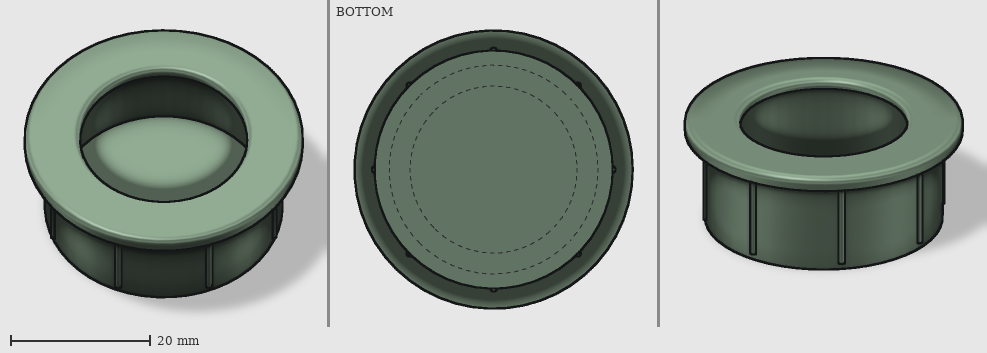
import cadquery as cq

flange_diameter = 40.0
flange_thickness = 2.0
edge_radius = 1.0
opening_diameter = 24.0
lip_thickness = 1.4

total_height = 16.0
cup_diameter = 34.2
cavity_diameter = 30.0
floor_thickness = 2.0

rib_count = 8
rib_diameter = 1.0
rib_circle_diameter = 34.0
rib_bottom = 1.0

flange_bottom = total_height - flange_thickness
cup_height = total_height - lip_thickness


def make_flange():
    """Ring rounded along both top edges, with a recess underneath for the cup rim."""
    ring = (
        cq.Workplane("XY")
        .workplane(offset=flange_bottom)
        .circle(flange_diameter / 2)
        .circle(opening_diameter / 2)
        .extrude(flange_thickness)
    )
    ring = ring.faces(">Z").edges().fillet(edge_radius)
    rim_recess = (
        cq.Workplane("XY")
        .workplane(offset=flange_bottom)
        .circle(cup_diameter / 2)
        .extrude(cup_height - flange_bottom)
    )
    return ring.cut(rim_recess)


def make_ribs():
    """Round vertical ribs on the cup's outer surface, ending below the flange."""
    return (
        cq.Workplane("XY")
        .workplane(offset=rib_bottom)
        .polarArray(rib_circle_diameter / 2, 0, 360, rib_count)
        .circle(rib_diameter / 2)
        .extrude(flange_bottom - rib_bottom)
    )


def make_cup():
    """Ribbed round cup with a closed floor and an open top."""
    outer = cq.Workplane("XY").circle(cup_diameter / 2).extrude(cup_height)
    cavity = (
        cq.Workplane("XY")
        .workplane(offset=floor_thickness)
        .circle(cavity_diameter / 2)
        .extrude(cup_height - floor_thickness)
    )
    return outer.union(make_ribs()).cut(cavity)


flange = make_flange()
cup = make_cup()

result = cq.Compound.makeCompound([*flange.solids().vals(), *cup.solids().vals()])